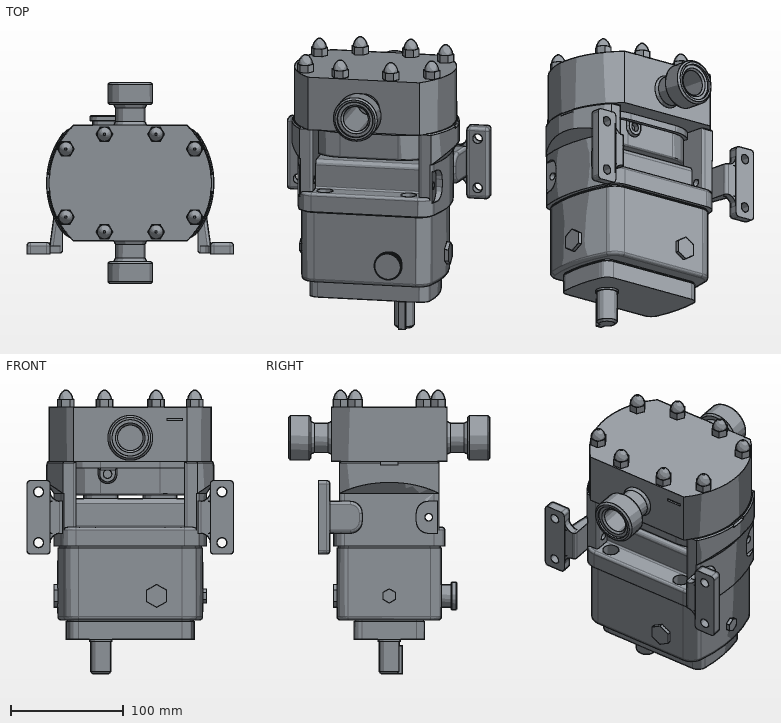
import cadquery as cq
import math

FLANGE_BOTTOM = 30.7
GEARCASE_BOTTOM = 47.8
FRAME_BOTTOM = 113.0
LEDGE_Z = 130.0
FLARE_Z = 159.9
HEAD_BOTTOM = 188.3
HEAD_TOP = 236.3
TOTAL_HEIGHT = 251.4

SIDE_RADIUS = 125.7
FRAME_HALF_X = 67.5
UPPER_HALF_Y = 44.2
LOWER_HALF_Y = 49.3
FRAME_CORNER = 13.8
GEARCASE_HALF_X = 64.3
GEARCASE_HALF_Y = 46.2
GEARCASE_CORNER = 13.5
GEARCASE_BOTTOM_ROUND = 3.0
FLANGE_HALF_X = 56.8
FLANGE_HALF_Y = 31.5
FLANGE_CORNER = 8.8
JOINT_GAP = 1.5
JOINT_INSET = 1.0
SHAFT_X = 26.1

HEAD_RADIUS = 72.0
HEAD_HALF_Y = 51.3
PRY_SLOT_X = 39.5
PRY_SLOT_BOTTOM = 224.5
PRY_SLOT_LENGTH = 13.5
PRY_SLOT_HEIGHT = 1.8
PRY_SLOT_DEPTH = 2.5

NUT_PLACES = [(57.0, 30.2), (22.9, 43.2)]
NUT_CORNERS = 14.8
NUT_HEX_HEIGHT = 6.8
DOME_RADIUS = 6.3
DOME_MID_RADIUS = 5.0
DOME_TIP_RADIUS = 1.0

PORT_Z = 209.0
PORT_END = 178.2 / 2
NECK_RADIUS = 13.0
NECK_FLARE = 1.5
COLLAR_RADIUS = 19.9
COLLAR_START = 69.4
COLLAR_CHAMFER = 1.8
RECESS_RADIUS = 16.0
RECESS_DEPTH = 2.0
BORE_RADIUS = 11.3
BORE_END = 25.1

FRAME_DISC_RADIUS = 74.1
FLARE_HEIGHT = 9.8
FRAME_CHAMFER = 1.3
WINDOW_HALF_X = 48.0
BRIDGE_HALF_Y = 29.5
BRIDGE_TOP = 155.3
BRIDGE_ROUND = 4.3
LEDGE_ROUND = 1.5
LEDGE_EDGE_ROUND = 2.5
POST_ROUND = 2.3
BOLT_HOLE_PLACE = 38.0
BOLT_HOLE_RADIUS = 7.0
NOTCH_WIDTH = 15.0
NOTCH_DEPTH = 3.0

HOUSING_RADIUS = 28.5
HOUSING_BOTTOM = 158.4
HOUSING_TOP = 182.2
HOUSING_PLATE_RADIUS = 32.2
HOUSING_ROUND = 1.3
SEAL_RADIUS = 15.0
BOSS_X = -20.0
BOSS_Z = 177.0
BOSS_RADIUS = 8.3
BOSS_HEIGHT = 2.5
BOSS_TAPER = 30.0
BOSS_HOLE_RADIUS = 3.8
BOSS_HOLE_DEPTH = 5.0

PAD_X = 59.8
PAD_END_Y = 24.0
PAD_Z = 138.7
PAD_HEIGHT = 28.5
PAD_RADIUS = 10.8
PAD_HOLE_Y = 35.0
PAD_HOLE_RADIUS = 3.3

SHAFT_RADIUS = 9.0
SHAFT_CHAMFER = 2.0
SHAFT_COLLAR_RADIUS = 10.0
SHAFT_COLLAR_HEIGHT = 1.8
KEY_WIDTH = 6.0
KEY_TOP_Y = 11.5
KEY_LENGTH = 25.1

PLUG_Z = 69.0
PLUG_CORNERS = 20.4
SMALL_PLUG_CORNERS = 12.5
PLUG_HEIGHT = 3.3
HEX_TURN = 30
FRONT_PLUG_X = 23.5
GLASS_NECK_RADIUS = 10.0
GLASS_HEAD_RADIUS = 12.3
GLASS_HEAD_START = 54.8
GLASS_END = 59.8
GLASS_CHAMFER = 0.8

FOOT_OUTER_X = 91.5
FOOT_INNER_X = 71.0
FOOT_FRONT_Y = -62.8
FOOT_BACK_Y = -52.5
FOOT_BOTTOM = 106.0
FOOT_TOP = 171.5
FOOT_CORNER = 3.3
FOOT_EDGE_ROUND = 3.0
FOOT_HOLE_X = 81.2
FOOT_HOLE_SPACING = 45.0
FOOT_HOLE_RADIUS = 4.3
ARM_END_X = 66.9
ARM_CORNER = 2.8
ARM_EDGE_ROUND = 3.0
ARM_FRONT_Y = -62.0
WEB_RADIUS = 8.8


def side_x(half_x, y):
    """X of a bulged side wall at a given Y, where half_x is its X at Y = 0."""
    return half_x - SIDE_RADIUS + math.sqrt(SIDE_RADIUS**2 - y**2)


def bulged_block(half_x, half_y, corner, bottom, top):
    """Block with flat front and back, bulged sides and rounded vertical edges."""
    corner_x = side_x(half_x, half_y)
    return (
        cq.Workplane("XY")
        .workplane(offset=bottom)
        .moveTo(-corner_x, -half_y)
        .lineTo(corner_x, -half_y)
        .threePointArc((half_x, 0), (corner_x, half_y))
        .lineTo(-corner_x, half_y)
        .threePointArc((-half_x, 0), (-corner_x, -half_y))
        .close()
        .extrude(top - bottom)
        .edges("|Z")
        .fillet(corner)
    )


def box_between(x0, x1, y0, y1, z0, z1):
    """Box given by its limits along each axis."""
    return cq.Workplane("XY").box(x1 - x0, y1 - y0, z1 - z0, centered=False).translate((x0, y0, z0))


def cylinder(radius, bottom, top, x=0, y=0):
    """Upright cylinder."""
    return cq.Workplane("XY").workplane(offset=bottom).center(x, y).circle(radius).extrude(top - bottom)


def make_gearcase():
    """Gearcase with a flange below it and a shallow groove at each joint."""
    case_top = FRAME_BOTTOM - JOINT_GAP
    case = bulged_block(GEARCASE_HALF_X, GEARCASE_HALF_Y, GEARCASE_CORNER, GEARCASE_BOTTOM, case_top)
    case = case.faces("<Z").edges().fillet(GEARCASE_BOTTOM_ROUND)
    joint = bulged_block(
        GEARCASE_HALF_X - JOINT_INSET,
        GEARCASE_HALF_Y - JOINT_INSET,
        GEARCASE_CORNER - JOINT_INSET,
        case_top,
        FRAME_BOTTOM,
    )
    flange_top = GEARCASE_BOTTOM - JOINT_GAP
    flange = bulged_block(FLANGE_HALF_X, FLANGE_HALF_Y, FLANGE_CORNER, FLANGE_BOTTOM, flange_top)
    flange_joint = bulged_block(
        FLANGE_HALF_X - JOINT_INSET,
        FLANGE_HALF_Y - JOINT_INSET,
        FLANGE_CORNER - JOINT_INSET,
        flange_top,
        GEARCASE_BOTTOM,
    )
    return case.union(joint).union(flange).union(flange_joint)


def make_shaft():
    """Drive shaft with its collar and key."""
    shaft = cylinder(SHAFT_RADIUS, 0, FLANGE_BOTTOM, -SHAFT_X)
    shaft = shaft.faces("<Z").chamfer(SHAFT_CHAMFER)
    collar = cylinder(SHAFT_COLLAR_RADIUS, FLANGE_BOTTOM - SHAFT_COLLAR_HEIGHT, FLANGE_BOTTOM, -SHAFT_X)
    key = box_between(-SHAFT_X - KEY_WIDTH / 2, -SHAFT_X + KEY_WIDTH / 2, 0, KEY_TOP_Y, 0, KEY_LENGTH)
    return shaft.union(collar).union(key)


def hex_plug(origin, across, outward, corners):
    """Hexagonal plug head with a corner up, facing outward and rooted in the wall."""
    face = cq.Workplane(cq.Plane(origin, across, outward))
    return face.transformed(rotate=(0, 0, HEX_TURN)).polygon(6, corners).extrude(PLUG_HEIGHT, both=True)


def make_plugs():
    """Hexagonal plugs on the front and both sides of the gearcase."""
    front = hex_plug((FRONT_PLUG_X, -GEARCASE_HALF_Y, PLUG_Z), (1, 0, 0), (0, -1, 0), PLUG_CORNERS)
    left = hex_plug((-GEARCASE_HALF_X, 0, PLUG_Z), (0, 1, 0), (-1, 0, 0), PLUG_CORNERS)
    right = hex_plug((GEARCASE_HALF_X, 0, PLUG_Z), (0, 1, 0), (1, 0, 0), SMALL_PLUG_CORNERS)
    return front.union(left).union(right)


def make_sight_glass():
    """Round sight glass on the back of the gearcase."""
    back = cq.Workplane(cq.Plane((-FRONT_PLUG_X, GEARCASE_HALF_Y, PLUG_Z), (1, 0, 0), (0, 1, 0)))
    neck = back.circle(GLASS_NECK_RADIUS).extrude(GLASS_HEAD_START - GEARCASE_HALF_Y)
    head = (
        back.workplane(offset=GLASS_HEAD_START - GEARCASE_HALF_Y)
        .circle(GLASS_HEAD_RADIUS)
        .extrude(GLASS_END - GLASS_HEAD_START)
        .edges()
        .chamfer(GLASS_CHAMFER)
    )
    return neck.union(head)


def upper_slab():
    """Space between the front and back planes of the upper part of the frame."""
    reach = 2 * FRAME_DISC_RADIUS
    return box_between(-reach, reach, -UPPER_HALF_Y, UPPER_HALF_Y, 0, HEAD_BOTTOM)


def make_frame_top():
    """Round top of the frame, whose underside flares out of the side walls."""
    height = HEAD_BOTTOM - FLARE_Z
    slope = (FRAME_DISC_RADIUS - FRAME_HALF_X) / FLARE_HEIGHT
    top = cylinder(FRAME_DISC_RADIUS, FLARE_Z, HEAD_BOTTOM).intersect(upper_slab())
    top = top.faces(">Z").chamfer(FRAME_CHAMFER)
    for side in (-1, 1):
        axis_base = cq.Vector(side * (FRAME_HALF_X - SIDE_RADIUS), 0, FLARE_Z)
        flare = cq.Solid.makeCone(SIDE_RADIUS, SIDE_RADIUS + slope * height, height, axis_base)
        top = top.intersect(cq.Workplane(flare))
    return top


def make_window():
    """Space between the posts: a ledge at the front and back, and a bridge with rounded top edges."""
    outer = 2 * LOWER_HALF_Y
    arc_share = 1 - math.sqrt(0.5)
    foot = BRIDGE_HALF_Y + LEDGE_ROUND
    shoulder = BRIDGE_HALF_Y - BRIDGE_ROUND
    foot_mid = (foot - LEDGE_ROUND * (1 - arc_share), LEDGE_Z + LEDGE_ROUND * arc_share)
    shoulder_mid = (BRIDGE_HALF_Y - BRIDGE_ROUND * arc_share, BRIDGE_TOP - BRIDGE_ROUND * arc_share)
    return (
        cq.Workplane("YZ")
        .workplane(offset=-WINDOW_HALF_X)
        .moveTo(-outer, LEDGE_Z)
        .lineTo(-foot, LEDGE_Z)
        .threePointArc((-foot_mid[0], foot_mid[1]), (-BRIDGE_HALF_Y, LEDGE_Z + LEDGE_ROUND))
        .lineTo(-BRIDGE_HALF_Y, BRIDGE_TOP - BRIDGE_ROUND)
        .threePointArc((-shoulder_mid[0], shoulder_mid[1]), (-shoulder, BRIDGE_TOP))
        .lineTo(shoulder, BRIDGE_TOP)
        .threePointArc(shoulder_mid, (BRIDGE_HALF_Y, BRIDGE_TOP - BRIDGE_ROUND))
        .lineTo(BRIDGE_HALF_Y, LEDGE_Z + LEDGE_ROUND)
        .threePointArc(foot_mid, (foot, LEDGE_Z))
        .lineTo(outer, LEDGE_Z)
        .lineTo(outer, HEAD_BOTTOM)
        .lineTo(-outer, HEAD_BOTTOM)
        .close()
        .extrude(2 * WINDOW_HALF_X)
    )


def pad_shape(side, end):
    """Pad outline with a round inner end, as a prism from the pad floor outward.

    side is -1 or 1 for X, and end is -1 or 1 for the Y end where the pad is open.
    """
    length = 2 * LOWER_HALF_Y
    depth = FRAME_HALF_X
    prism = box_between(
        PAD_X, PAD_X + depth, PAD_END_Y, PAD_END_Y + length, PAD_Z - PAD_HEIGHT / 2, PAD_Z + PAD_HEIGHT / 2
    )
    prism = prism.edges("|X and <Y").fillet(PAD_RADIUS)
    if side < 0:
        prism = prism.mirror("YZ")
    if end < 0:
        prism = prism.mirror("XZ")
    return prism


def make_frame():
    """Frame with two posts, a window, bolt holes, pads for the feet and a notch on each side."""
    lower = bulged_block(FRAME_HALF_X, LOWER_HALF_Y, FRAME_CORNER, FRAME_BOTTOM, LEDGE_Z)
    lower = lower.faces(">Z").edges().fillet(LEDGE_EDGE_ROUND)
    upper = bulged_block(FRAME_HALF_X, LOWER_HALF_Y, FRAME_CORNER, FRAME_BOTTOM, FLARE_Z)
    upper = upper.intersect(upper_slab()).union(make_frame_top()).cut(make_window())
    for x in (-WINDOW_HALF_X, WINDOW_HALF_X):
        for y in (-UPPER_HALF_Y, UPPER_HALF_Y):
            post_edge = cq.selectors.BoxSelector(
                (x - POST_ROUND, y - POST_ROUND, LEDGE_Z), (x + POST_ROUND, y + POST_ROUND, HEAD_BOTTOM)
            )
            upper = upper.edges(post_edge).edges("|Z").fillet(POST_ROUND)
    frame = lower.union(upper)
    for x in (-BOLT_HOLE_PLACE, BOLT_HOLE_PLACE):
        for y in (-BOLT_HOLE_PLACE, BOLT_HOLE_PLACE):
            frame = frame.cut(cylinder(BOLT_HOLE_RADIUS, FRAME_BOTTOM, HEAD_BOTTOM, x, y))
    for side in (-1, 1):
        for end in (-1, 1):
            frame = frame.cut(pad_shape(side, end))
    for y in (-PAD_HOLE_Y, PAD_HOLE_Y):
        hole = cq.Workplane("YZ").center(y, PAD_Z).circle(PAD_HOLE_RADIUS).extrude(FRAME_HALF_X, both=True)
        frame = frame.cut(hole)
    for side in (-1, 1):
        notch = cq.Workplane("XY").box(NOTCH_DEPTH * 2, NOTCH_WIDTH, NOTCH_DEPTH * 2)
        frame = frame.cut(notch.translate((side * FRAME_DISC_RADIUS, 0, HEAD_BOTTOM)))
    return frame


def long_round(radius, bottom, top):
    """Upright prism with round ends centred on the two shafts."""
    base = cq.Workplane("XY").workplane(offset=bottom)
    return base.slot2D(2 * (SHAFT_X + radius), 2 * radius).extrude(top - bottom)


def make_rotor_housing():
    """Long rounded housing under the head, its plate, the two shaft seals and a drain boss."""
    housing = long_round(HOUSING_RADIUS, HOUSING_BOTTOM, HOUSING_TOP)
    housing = housing.faces("<Z").edges().fillet(HOUSING_ROUND)
    plate = long_round(HOUSING_PLATE_RADIUS, HOUSING_TOP, HEAD_BOTTOM)
    for x in (-BOLT_HOLE_PLACE, BOLT_HOLE_PLACE):
        for y in (-BOLT_HOLE_PLACE, BOLT_HOLE_PLACE):
            plate = plate.cut(cylinder(BOLT_HOLE_RADIUS, HOUSING_TOP, HEAD_BOTTOM, x, y))
    housing = housing.union(plate)
    for x in (-SHAFT_X, SHAFT_X):
        housing = housing.union(cylinder(SEAL_RADIUS, BRIDGE_TOP, HOUSING_BOTTOM, x))
    boss_base = cq.Workplane(cq.Plane((BOSS_X, -HOUSING_RADIUS, BOSS_Z), (1, 0, 0), (0, -1, 0)))
    boss_top = HOUSING_TOP - BOSS_Z
    boss = (
        boss_base.moveTo(-BOSS_RADIUS, boss_top)
        .lineTo(-BOSS_RADIUS, 0)
        .threePointArc((0, -BOSS_RADIUS), (BOSS_RADIUS, 0))
        .lineTo(BOSS_RADIUS, boss_top)
        .close()
        .extrude(BOSS_HEIGHT, taper=BOSS_TAPER)
    )
    hole = boss_base.workplane(offset=BOSS_HEIGHT).circle(BOSS_HOLE_RADIUS).extrude(-BOSS_HOLE_DEPTH)
    return housing.union(boss).cut(hole)


def make_port(side):
    """Port along Y on one side (-1 or 1): neck and threaded collar, without the bore."""
    profile = (
        cq.Workplane("YZ")
        .moveTo(BORE_END, 0)
        .lineTo(BORE_END, NECK_RADIUS)
        .lineTo(HEAD_HALF_Y, NECK_RADIUS)
        .lineTo(HEAD_HALF_Y, NECK_RADIUS + NECK_FLARE)
        .lineTo(HEAD_HALF_Y + 2 * NECK_FLARE, NECK_RADIUS)
        .lineTo(COLLAR_START - 2 * NECK_FLARE, NECK_RADIUS)
        .lineTo(COLLAR_START, NECK_RADIUS + NECK_FLARE)
        .lineTo(COLLAR_START, COLLAR_RADIUS - COLLAR_CHAMFER)
        .lineTo(COLLAR_START + COLLAR_CHAMFER, COLLAR_RADIUS)
        .lineTo(PORT_END - COLLAR_CHAMFER, COLLAR_RADIUS)
        .lineTo(PORT_END, COLLAR_RADIUS - COLLAR_CHAMFER)
        .lineTo(PORT_END, 0)
        .close()
    )
    port = profile.revolve(360, (0, 0, 0), (1, 0, 0)).translate((0, 0, PORT_Z))
    return port if side > 0 else port.mirror("XZ")


def make_port_bore(side):
    """Bore of a port, widened at its mouth."""
    mouth = PORT_END - RECESS_DEPTH
    profile = (
        cq.Workplane("YZ")
        .moveTo(BORE_END, 0)
        .lineTo(BORE_END, BORE_RADIUS)
        .lineTo(mouth - COLLAR_CHAMFER, BORE_RADIUS)
        .lineTo(mouth, BORE_RADIUS + COLLAR_CHAMFER)
        .lineTo(mouth, RECESS_RADIUS)
        .lineTo(PORT_END, RECESS_RADIUS)
        .lineTo(PORT_END, 0)
        .close()
    )
    bore = profile.revolve(360, (0, 0, 0), (1, 0, 0)).translate((0, 0, PORT_Z))
    return bore if side > 0 else bore.mirror("XZ")


def make_acorn_nut(x, y):
    """Hexagonal nut with an ogive dome."""
    dome_base = HEAD_TOP + NUT_HEX_HEIGHT
    dome_height = TOTAL_HEIGHT - dome_base
    nut = cq.Workplane("XY").workplane(offset=HEAD_TOP).polygon(6, NUT_CORNERS).extrude(NUT_HEX_HEIGHT)
    dome = (
        cq.Workplane("XZ")
        .moveTo(0, dome_base)
        .lineTo(DOME_RADIUS, dome_base)
        .threePointArc((DOME_MID_RADIUS, dome_base + dome_height / 2), (DOME_TIP_RADIUS, TOTAL_HEIGHT))
        .lineTo(0, TOTAL_HEIGHT)
        .close()
        .revolve(360, (0, 0, 0), (0, 1, 0))
    )
    return nut.union(dome).translate((x, y, 0))


def make_head():
    """Disc with flat front and back, two ports, acorn nuts and a pry slot."""
    slab = box_between(-HEAD_RADIUS, HEAD_RADIUS, -HEAD_HALF_Y, HEAD_HALF_Y, HEAD_BOTTOM, HEAD_TOP)
    head = cylinder(HEAD_RADIUS, HEAD_BOTTOM, HEAD_TOP).intersect(slab)
    pry_slot = box_between(
        PRY_SLOT_X - PRY_SLOT_LENGTH / 2, PRY_SLOT_X + PRY_SLOT_LENGTH / 2,
        -HEAD_HALF_Y, PRY_SLOT_DEPTH - HEAD_HALF_Y,
        PRY_SLOT_BOTTOM, PRY_SLOT_BOTTOM + PRY_SLOT_HEIGHT,
    )
    head = head.cut(pry_slot)
    for side in (-1, 1):
        head = head.union(make_port(side)).cut(make_port_bore(side))
    for x, y in NUT_PLACES:
        for x_side in (-1, 1):
            for y_side in (-1, 1):
                head = head.union(make_acorn_nut(x_side * x, y_side * y))
    return head


def make_pump():
    """Whole pump without its feet."""
    pump = make_head()
    sections = (make_rotor_housing, make_frame, make_gearcase, make_shaft, make_plugs, make_sight_glass)
    for make_section in sections:
        pump = pump.union(make_section())
    return pump


def make_foot(side):
    """L-shaped foot: an arm that sits in a pad, and an upright plate with two holes."""
    arm_bottom = PAD_Z - PAD_HEIGHT / 2
    arm_top = PAD_Z + PAD_HEIGHT / 2
    arm_middle = ((ARM_END_X + FOOT_INNER_X) / 2, (FOOT_BACK_Y - PAD_END_Y) / 2, PAD_Z)
    arm = (
        cq.Workplane("XY")
        .workplane(offset=arm_bottom)
        .moveTo(PAD_X, -PAD_END_Y)
        .lineTo(ARM_END_X, -PAD_END_Y)
        .lineTo(FOOT_INNER_X, FOOT_BACK_Y)
        .lineTo(FOOT_INNER_X, ARM_FRONT_Y)
        .lineTo(PAD_X + ARM_CORNER, ARM_FRONT_Y)
        .radiusArc((PAD_X, ARM_FRONT_Y + ARM_CORNER), ARM_CORNER)
        .close()
        .extrude(PAD_HEIGHT)
        .intersect(pad_shape(1, -1))
    )
    arm_face = arm.faces(cq.selectors.NearestToPointSelector(arm_middle))
    arm = arm_face.edges("not |Z or >Y").fillet(ARM_EDGE_ROUND)
    plate = (
        box_between(FOOT_INNER_X, FOOT_OUTER_X, FOOT_FRONT_Y, FOOT_BACK_Y, FOOT_BOTTOM, FOOT_TOP)
        .edges("|Y")
        .fillet(FOOT_CORNER)
        .faces(">Y")
        .edges()
        .fillet(FOOT_EDGE_ROUND)
    )
    foot = arm.union(plate)
    for level, up in ((arm_top, 1), (arm_bottom, -1)):
        web = (
            cq.Workplane("XZ", origin=(0, ARM_FRONT_Y, 0))
            .moveTo(FOOT_INNER_X - WEB_RADIUS, level)
            .radiusArc((FOOT_INNER_X, level + up * WEB_RADIUS), -up * WEB_RADIUS)
            .lineTo(FOOT_INNER_X, level)
            .close()
            .extrude(ARM_FRONT_Y - FOOT_BACK_Y + FOOT_EDGE_ROUND)
        )
        foot = foot.union(web)
    for z in (PAD_Z - FOOT_HOLE_SPACING / 2, PAD_Z + FOOT_HOLE_SPACING / 2):
        hole = cq.Workplane("XZ", origin=(FOOT_HOLE_X, FOOT_FRONT_Y, z)).circle(FOOT_HOLE_RADIUS)
        foot = foot.cut(hole.extrude(FOOT_FRONT_Y - FOOT_BACK_Y))
    return foot if side > 0 else foot.mirror("YZ")


pump = make_pump()
feet = [make_foot(side) for side in (-1, 1)]

result = cq.Compound.makeCompound([pump.val(), *[foot.val() for foot in feet]])